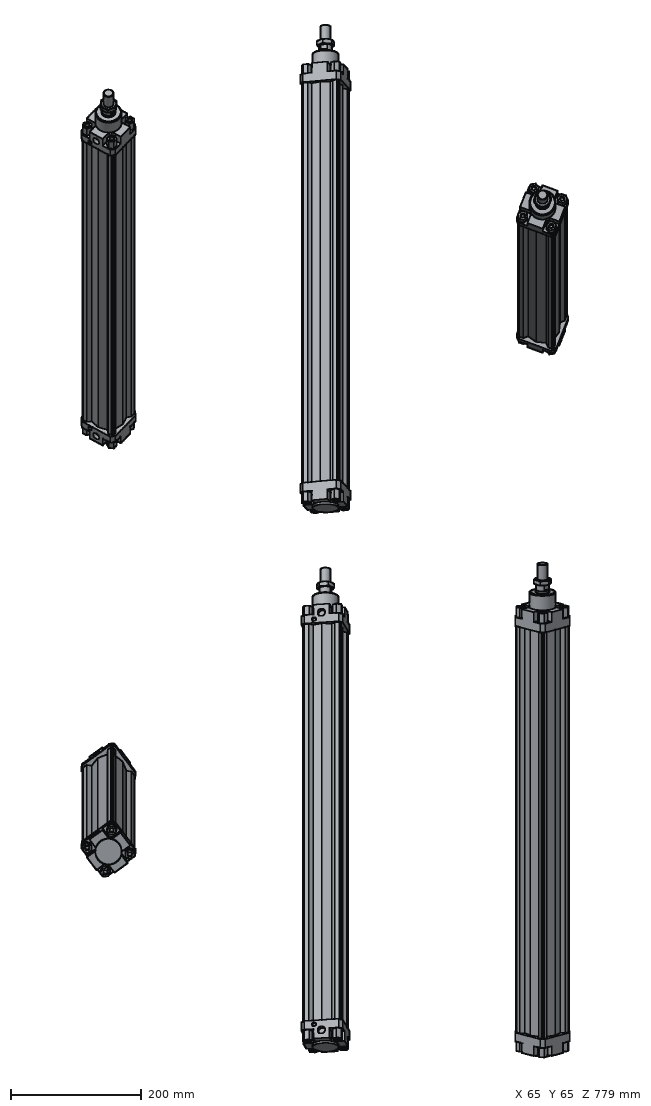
import cadquery as cq
import math


QUARTER_TURN = 90

HEXAGON_HALF_ANGLE = math.radians(30)

TOTAL_LENGTH = 779.0
SPIGOT_HEIGHT = 4.0
CAP_HEIGHT = 29.5
THREAD_LENGTH = 32.0
SHOULDER_TO_CAP = 37.0
COLLAR_HEIGHT = 24.0
LIP_HEIGHT = 3.0
SHOULDER = TOTAL_LENGTH - THREAD_LENGTH
FRONT_FACE = SHOULDER - SHOULDER_TO_CAP
BARREL_BOTTOM = SPIGOT_HEIGHT + CAP_HEIGHT
BARREL_LENGTH = FRONT_FACE - CAP_HEIGHT - BARREL_BOTTOM

CAP_WIDTH = 65.0
CAP_CHAMFER = 5.5
COLLAR_RADIUS = 20.0
COLLAR_CHAMFER = 1.5
LIP_RADIUS = 11.0
RIB_HALF_WIDTH = 12.5
POCKET_DEPTH = 15.5
POCKET_CHAMFER = 3.0

BOLT_OFFSET = 23.0
BOLT_ACROSS_FLATS = 13.0
BOLT_HOLE_DIAMETER = 7.0
BOLT_HOLE_DEPTH = 8.0

PORT_DIAMETER = 12.0
PORT_DEPTH = 8.0
PORT_FROM_FACE = 13.0
SCREW_DIAMETER = 6.0
SCREW_DEPTH = 4.0
SCREW_X = -12.0
SCREW_FROM_FACE = 23.0

BARREL_WIDTH = 61.0
CORNER_RIB_EDGE = 27.0
CORNER_RIB_STEP = 1.5
GROOVE_HALF_WIDTH = 20.0
GROOVE_DEPTH = 5.5
GROOVE_FLOOR_ANGLE = math.radians(15)

ROD_RADIUS = 10.0
ROD_ACROSS_FLATS = 17.0
FLATS_LENGTH = 8.0
THREAD_RADIUS = 8.0
THREAD_CHAMFER = 1.0
ROD_BOTTOM = FRONT_FACE - CAP_HEIGHT

NUT_ACROSS_FLATS = 24.0
NUT_HEIGHT = 8.0
NUT_ACROSS_CORNERS = NUT_ACROSS_FLATS / math.cos(HEXAGON_HALF_ANGLE)
NUT_BEVEL_WIDTH = 2.0
NUT_BEVEL_ANGLE = math.radians(30)
NUT_BEVEL_HEIGHT = NUT_BEVEL_WIDTH * math.tan(NUT_BEVEL_ANGLE)


def hexagon(across_flats, height, base):
    """Hexagonal prism standing on the height `base`, with two corners on the X axis."""
    across_corners = across_flats / math.cos(HEXAGON_HALF_ANGLE)
    return cq.Workplane("XY").workplane(offset=base).polygon(6, across_corners).extrude(height)


def side_hole(x, z, diameter, depth):
    """Blind hole bored in the +Y direction into the -Y side of a cap."""
    return (
        cq.Workplane("XZ", origin=(x, -CAP_WIDTH / 2, z))
        .circle(diameter / 2)
        .extrude(-depth)
    )


def corner_pocket():
    """Pocket in the +X +Y corner, reaching down from the height 0, with its inner corner cut off."""
    size = CAP_WIDTH / 2
    return (
        cq.Workplane("XY")
        .moveTo(RIB_HALF_WIDTH + POCKET_CHAMFER, RIB_HALF_WIDTH)
        .lineTo(size, RIB_HALF_WIDTH)
        .lineTo(size, size)
        .lineTo(RIB_HALF_WIDTH, size)
        .lineTo(RIB_HALF_WIDTH, RIB_HALF_WIDTH + POCKET_CHAMFER)
        .close()
        .extrude(-POCKET_DEPTH)
    )


def bolt_head():
    """Hexagonal bolt head in the +X +Y corner, flush with the height 0, with a blind hole in its end."""
    head = hexagon(BOLT_ACROSS_FLATS, POCKET_DEPTH, -POCKET_DEPTH)
    hole = cq.Workplane("XY").circle(BOLT_HOLE_DIAMETER / 2).extrude(-BOLT_HOLE_DEPTH)
    return head.cut(hole).translate((BOLT_OFFSET, BOLT_OFFSET, 0))


def end_cap():
    """Cap with its end face at the height 0 and its body below, without the side holes."""
    cap = (
        cq.Workplane("XY")
        .rect(CAP_WIDTH, CAP_WIDTH)
        .extrude(-CAP_HEIGHT)
        .edges("|Z")
        .chamfer(CAP_CHAMFER)
    )
    for corner in range(4):
        angle = QUARTER_TURN * corner
        cap = cap.cut(corner_pocket().rotate((0, 0, 0), (0, 0, 1), angle))
        cap = cap.union(bolt_head().rotate((0, 0, 0), (0, 0, 1), angle))
    return cap


def barrel():
    """Extruded profile: a square with bevelled corner ribs and a ridged groove on each side."""
    half = BARREL_WIDTH / 2
    flat_y = half - CORNER_RIB_STEP
    valley_x = GROOVE_HALF_WIDTH - GROOVE_DEPTH
    valley_y = flat_y - GROOVE_DEPTH
    ridge_y = valley_y + valley_x * math.tan(GROOVE_FLOOR_ANGLE)
    side = [
        (CORNER_RIB_EDGE, half),
        (CORNER_RIB_EDGE, flat_y),
        (GROOVE_HALF_WIDTH, flat_y),
        (valley_x, valley_y),
        (0, ridge_y),
        (-valley_x, valley_y),
        (-GROOVE_HALF_WIDTH, flat_y),
        (-CORNER_RIB_EDGE, flat_y),
        (-CORNER_RIB_EDGE, half),
    ]
    outline = list(side)
    for _ in range(3):
        side = [(-y, x) for x, y in side]
        outline += side
    base = cq.Workplane("XY").workplane(offset=BARREL_BOTTOM)
    return base.polyline(outline).close().extrude(BARREL_LENGTH)


def cylinder(radius, height, base):
    """Round bar about the Z axis, standing on the height `base`."""
    return cq.Workplane("XY").workplane(offset=base).circle(radius).extrude(height)


def make_housing():
    """Barrel, both end caps, the collar and lip around the rod, and the spigot at the rear."""
    front_cap = end_cap().translate((0, 0, FRONT_FACE))
    rear_cap = end_cap().mirror("XY").translate((0, 0, SPIGOT_HEIGHT))
    collar = cylinder(COLLAR_RADIUS, COLLAR_HEIGHT, FRONT_FACE).faces(">Z").edges().chamfer(COLLAR_CHAMFER)
    lip = cylinder(LIP_RADIUS, COLLAR_HEIGHT + LIP_HEIGHT, FRONT_FACE)
    spigot = cylinder(COLLAR_RADIUS, SPIGOT_HEIGHT, 0)
    housing = barrel().union(front_cap).union(rear_cap).union(collar).union(lip).union(spigot)

    for face, inward in ((FRONT_FACE, -1), (SPIGOT_HEIGHT, 1)):
        port_z = face + inward * PORT_FROM_FACE
        screw_z = face + inward * SCREW_FROM_FACE
        housing = housing.cut(side_hole(0, port_z, PORT_DIAMETER, PORT_DEPTH))
        housing = housing.cut(side_hole(SCREW_X, screw_z, SCREW_DIAMETER, SCREW_DEPTH))

    lip_top = FRONT_FACE + COLLAR_HEIGHT + LIP_HEIGHT
    return housing.cut(cylinder(ROD_RADIUS, lip_top - ROD_BOTTOM, ROD_BOTTOM))


def make_rod():
    """Piston rod with two wrench flats facing -X and +X below the shoulder, and a thread above it."""
    rod = cylinder(ROD_RADIUS, SHOULDER - ROD_BOTTOM, ROD_BOTTOM)
    for side in (-1, 1):
        waste = cq.Workplane("XY").box(ROD_RADIUS, 2 * ROD_RADIUS, FLATS_LENGTH)
        waste_x = side * (ROD_ACROSS_FLATS + ROD_RADIUS) / 2
        rod = rod.cut(waste.translate((waste_x, 0, SHOULDER - FLATS_LENGTH / 2)))
    thread = cylinder(THREAD_RADIUS, THREAD_LENGTH, SHOULDER).faces(">Z").edges().chamfer(THREAD_CHAMFER)
    return rod.union(thread)


def make_nut():
    """Hexagonal nut with its corners bevelled on both end faces."""
    bevelled_blank = (
        cylinder(NUT_ACROSS_CORNERS / 2, NUT_HEIGHT, SHOULDER)
        .edges()
        .chamfer(NUT_BEVEL_HEIGHT, NUT_BEVEL_WIDTH)
    )
    nut = hexagon(NUT_ACROSS_FLATS, NUT_HEIGHT, SHOULDER).intersect(bevelled_blank)
    return nut.cut(cylinder(THREAD_RADIUS, NUT_HEIGHT, SHOULDER))


housing = make_housing()
piston_rod = make_rod()
rod_nut = make_nut()

result = cq.Compound.makeCompound([housing.val(), piston_rod.val(), rod_nut.val()])